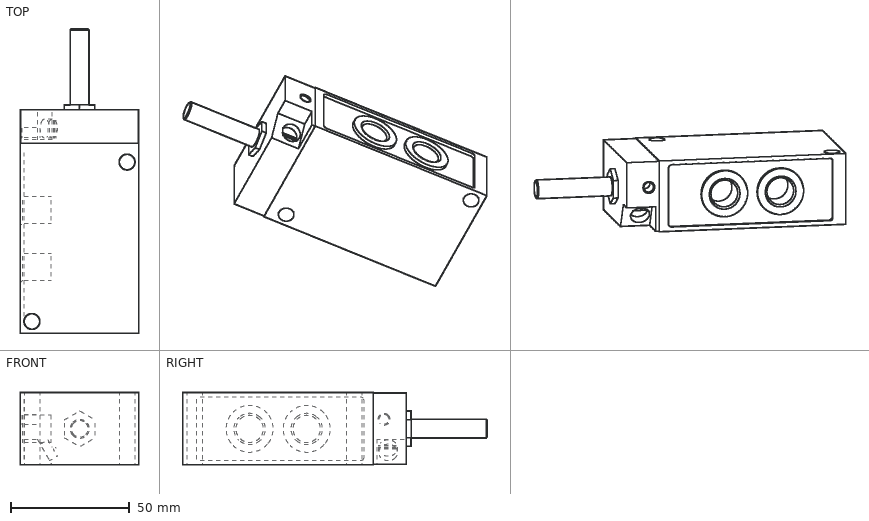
import cadquery as cq
import math

BODY_WIDTH = 50.0
BODY_LENGTH = 80.0
BODY_HEIGHT = 30.4
SIDE_X = -BODY_WIDTH / 2

COVER_WIDTH = 49.6
COVER_LENGTH = 14.0
COVER_HEIGHT = 30.0
COVER_SIDE_X = -COVER_WIDTH / 2
COVER_END_Y = BODY_LENGTH + COVER_LENGTH

NUT_ACROSS_FLATS = 13.0
NUT_HALF_SECTOR = 30.0
NUT_THICKNESS = 2.0
STEM_DIAMETER = 8.0
STEM_LENGTH = 32.0
STEM_CHAMFER = 0.5

MOUNTING_DIAMETER = 6.5
MOUNTING_CENTRES = [(-20.0, 5.0), (20.0, 72.0)]

PANEL_LENGTH = 70.4
PANEL_HEIGHT = 26.7
PANEL_CENTRE_Y = 40.8
PANEL_DEPTH = 1.5
PANEL_CORNER_RADIUS = 1.3
BOSS_DIAMETER = 19.73

PORT_CENTRES_Y = [28.0, 52.0]
PORT_DIAMETER = 11.45
PORT_MOUTH_DIAMETER = 13.16
PORT_DEPTH = 13.0

PILOT_Y = 84.5
PILOT_Z = 4.0
PILOT_DIAMETER = 4.13
PILOT_MOUTH_DIAMETER = 5.0
PILOT_DEPTH = 8.0

NOTCH_TOP_Z = -4.4
NOTCH_START_Y = 81.5
NOTCH_LEDGE = 7.0
NOTCH_TILT = 30.0
NOTCH_HEIGHT = NOTCH_TOP_Z + COVER_HEIGHT / 2
SLANT_TOP_X = COVER_SIDE_X + NOTCH_LEDGE
SLANT_SLOPE = math.tan(math.radians(NOTCH_TILT))

SCREW_Y = 86.2
SCREW_Z = -9.9
SCREW_DIAMETER = 8.0
SCREW_SINK = 3.7
SLOT_WIDTH = 1.2
SLOT_DEPTH = 1.2


def make_block(start_y, width, length, height):
    """Block running along +Y, centred on X and Z."""
    block = cq.Workplane("XY").box(width, length, height, centered=(True, False, True))
    return block.translate((0, start_y, 0))


def make_nut():
    """Hexagon nut with two flats square to X."""
    across_corners = NUT_ACROSS_FLATS / math.cos(math.radians(NUT_HALF_SECTOR))
    nut = cq.Workplane("XY").polygon(6, across_corners).extrude(NUT_THICKNESS)
    nut = nut.rotate((0, 0, 0), (0, 0, 1), NUT_HALF_SECTOR)
    return nut.rotate((0, 0, 0), (1, 0, 0), -90).translate((0, COVER_END_Y, 0))


def make_stem():
    """Round stem starting at the cover face, chamfered at its free end."""
    stem = cq.Workplane("XZ", origin=(0, COVER_END_Y, 0)).circle(STEM_DIAMETER / 2)
    return stem.extrude(-(NUT_THICKNESS + STEM_LENGTH)).faces(">Y").chamfer(STEM_CHAMFER)


def side_plane(y, z, side_x=SIDE_X):
    """Plane on the -X side whose normal points into the part."""
    return cq.Workplane("YZ", origin=(side_x, y, z))


def threaded_hole(side_x, y, z, diameter, mouth_diameter, depth):
    """Blind hole from the -X side with a 45 degree countersunk mouth."""
    radius = diameter / 2
    mouth_radius = mouth_diameter / 2
    hole = side_plane(y, z, side_x).circle(radius).extrude(depth)
    mouth = cq.Solid.makeCone(
        mouth_radius,
        radius,
        mouth_radius - radius,
        pnt=cq.Vector(side_x, y, z),
        dir=cq.Vector(1, 0, 0),
    )
    return hole.union(cq.Workplane(mouth))


def panel_recess():
    """Rounded rectangular recess with the port bosses kept out of it."""
    recess = side_plane(PANEL_CENTRE_Y, 0).rect(PANEL_LENGTH, PANEL_HEIGHT).extrude(PANEL_DEPTH)
    recess = recess.edges("|X").fillet(PANEL_CORNER_RADIUS)
    for port_y in PORT_CENTRES_Y:
        boss = side_plane(port_y, 0).circle(BOSS_DIAMETER / 2).extrude(PANEL_DEPTH)
        recess = recess.cut(boss)
    return recess


def mounting_holes():
    """Vertical holes through the body."""
    plane = cq.Workplane("XY", origin=(0, 0, -BODY_HEIGHT / 2))
    return plane.pushPoints(MOUNTING_CENTRES).circle(MOUNTING_DIAMETER / 2).extrude(BODY_HEIGHT)


def cover_notch():
    """Ledge and slanted face running along Y out to the end of the cover."""
    bottom_z = -COVER_HEIGHT / 2
    corners = [
        (COVER_SIDE_X, NOTCH_TOP_Z),
        (SLANT_TOP_X, NOTCH_TOP_Z),
        (SLANT_TOP_X + NOTCH_HEIGHT * SLANT_SLOPE, bottom_z),
        (COVER_SIDE_X, bottom_z),
    ]
    plane = cq.Workplane("XZ", origin=(0, NOTCH_START_Y, 0))
    return plane.polyline(corners).close().extrude(-(COVER_END_Y - NOTCH_START_Y))


def screw_recess():
    """Round hole square to the slanted face, with the screw slot along Y in its floor."""
    tilt = math.radians(NOTCH_TILT)
    screw_x = SLANT_TOP_X + (NOTCH_TOP_Z - SCREW_Z) * SLANT_SLOPE
    inward = (math.cos(tilt), 0, math.sin(tilt))
    face = cq.Workplane(cq.Plane(origin=(screw_x, SCREW_Y, SCREW_Z), xDir=(0, 1, 0), normal=inward))
    hole = face.circle(SCREW_DIAMETER / 2).extrude(SCREW_SINK)
    slot_depth = SCREW_SINK + SLOT_DEPTH
    slot = face.rect(SCREW_DIAMETER, SLOT_WIDTH).extrude(slot_depth)
    screw_outline = face.circle(SCREW_DIAMETER / 2).extrude(slot_depth)
    return hole.union(slot.intersect(screw_outline))


result = make_block(0, BODY_WIDTH, BODY_LENGTH, BODY_HEIGHT)
result = result.union(make_block(BODY_LENGTH, COVER_WIDTH, COVER_LENGTH, COVER_HEIGHT))
result = result.union(make_nut()).union(make_stem())
result = result.cut(mounting_holes()).cut(panel_recess())
for centre_y in PORT_CENTRES_Y:
    port = threaded_hole(SIDE_X, centre_y, 0, PORT_DIAMETER, PORT_MOUTH_DIAMETER, PORT_DEPTH)
    result = result.cut(port)
pilot = threaded_hole(COVER_SIDE_X, PILOT_Y, PILOT_Z, PILOT_DIAMETER, PILOT_MOUTH_DIAMETER, PILOT_DEPTH)
result = result.cut(pilot).cut(cover_notch()).cut(screw_recess())